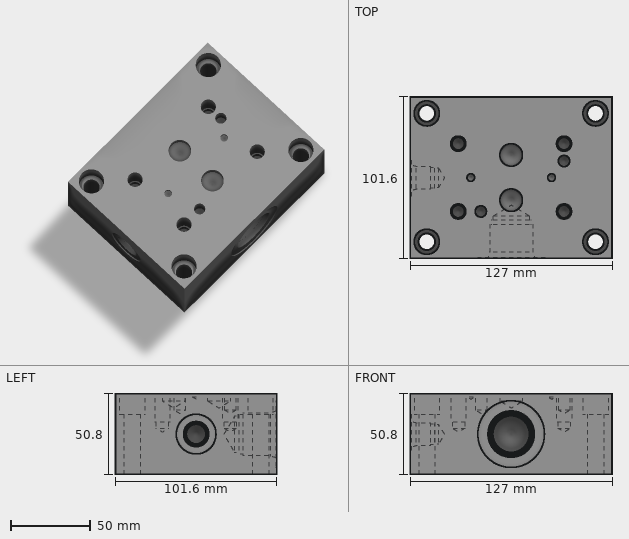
import cadquery as cq
import math

LENGTH = 127.0
WIDTH = 101.6
HEIGHT = 50.8
TOP = HEIGHT / 2

DRILL_POINT_ANGLE = 118.0
PORT_SEAT_HALF_ANGLE = 15.0

CORNER_X = 53.1
CORNER_Y = 40.4
CORNER_HOLE_D = 10.3
CORNER_BORE_D = 15.9
CORNER_BORE_DEPTH = 13.0

BOLT_X = 33.3
BOLT_Y = 21.3
BOLT_THREAD_D = 9.5
BOLT_DRILL_D = 7.9
BOLT_THREAD_DEPTH = 17.8
BOLT_DRILL_DEPTH = 21.6

FLOW_Y = 14.2
FLOW_D = 14.2
FLOW_DEPTH = 4.6

LOCATOR_X = 25.4
LOCATOR_D = 4.8
LOCATOR_DEPTH = 1.9

PILOT_D = 7.1
PILOT_DEPTH = 10.2
PILOT_CENTRES = [(BOLT_X, 10.4), (-19.0, -BOLT_Y)]

FRONT_SPOTFACE_D = 42.0
FRONT_SEAT_D = 29.2
FRONT_SEAT_END_D = 27.4
FRONT_THREAD_D = 26.9
FRONT_MINOR_D = 24.9
FRONT_DRILL_D = 23.0
FRONT_THREAD_DEPTH = 21.6
FRONT_MINOR_DEPTH = 24.1
FRONT_DRILL_DEPTH = 26.7

SIDE_SPOTFACE_D = 25.0
SIDE_SEAT_D = 15.9
SIDE_SEAT_END_D = 14.5
SIDE_THREAD_D = 14.2
SIDE_MINOR_D = 13.0
SIDE_DRILL_D = 12.3
SIDE_THREAD_DEPTH = 12.7
SIDE_MINOR_DEPTH = 15.2
SIDE_DRILL_DEPTH = 17.8

SPOTFACE_DEPTH = 0.8


def mirrored(x, y):
    """Four positions symmetric about both centre lines."""
    return [(sx * x, sy * y) for sx in (-1, 1) for sy in (-1, 1)]


def revolve_cutter(profile):
    """Tool pointing down from the origin, from (radius, depth) points."""
    points = [(radius, -depth) for radius, depth in profile]
    return cq.Workplane("XZ").polyline(points).close().revolve(360, (0, 0), (0, 1))


def drill_tip(diameter):
    """Length of the conical end left by a drill."""
    return diameter / 2 / math.tan(math.radians(DRILL_POINT_ANGLE / 2))


def drill_cutter(diameter, depth):
    """Blind drilled hole with a conical end; depth is to the full diameter."""
    radius = diameter / 2
    return revolve_cutter([(0, 0), (radius, 0), (radius, depth), (0, depth + drill_tip(diameter))])


def threaded_hole_cutter(thread_d, thread_depth, drill_d, drill_depth):
    """Thread-diameter bore stepping down to a deeper drilled hole."""
    thread = cq.Workplane("XY").circle(thread_d / 2).extrude(-thread_depth)
    return thread.union(drill_cutter(drill_d, drill_depth))


def port_cutter(
    spotface_d, seat_d, seat_end_d,
    thread_d, minor_d, drill_d,
    thread_depth, minor_depth, drill_depth,
):
    """Spotfaced port: tapered seal seat, thread-diameter bore, then two smaller bores in steps."""
    seat_length = (seat_d - seat_end_d) / 2 / math.tan(math.radians(PORT_SEAT_HALF_ANGLE))
    seat_end = SPOTFACE_DEPTH + seat_length
    return revolve_cutter([
        (0, 0),
        (spotface_d / 2, 0),
        (spotface_d / 2, SPOTFACE_DEPTH),
        (seat_d / 2, SPOTFACE_DEPTH),
        (seat_end_d / 2, seat_end),
        (thread_d / 2, seat_end),
        (thread_d / 2, thread_depth),
        (minor_d / 2, thread_depth),
        (minor_d / 2, minor_depth),
        (drill_d / 2, minor_depth),
        (drill_d / 2, drill_depth),
        (0, drill_depth + drill_tip(drill_d)),
    ])


def cut_top(body, cutter, centres):
    """Cut the tool into the top face at each centre."""
    for x, y in centres:
        body = body.cut(cutter.translate((x, y, TOP)))
    return body


block = cq.Workplane("XY").box(LENGTH, WIDTH, HEIGHT)

block = (
    block.faces(">Z").workplane()
    .pushPoints(mirrored(CORNER_X, CORNER_Y))
    .cboreHole(CORNER_HOLE_D, CORNER_BORE_D, CORNER_BORE_DEPTH)
)

bolt_hole = threaded_hole_cutter(BOLT_THREAD_D, BOLT_THREAD_DEPTH, BOLT_DRILL_D, BOLT_DRILL_DEPTH)
block = cut_top(block, bolt_hole, mirrored(BOLT_X, BOLT_Y))
block = cut_top(block, drill_cutter(FLOW_D, FLOW_DEPTH), [(0, -FLOW_Y), (0, FLOW_Y)])
block = cut_top(block, drill_cutter(LOCATOR_D, LOCATOR_DEPTH), [(-LOCATOR_X, 0), (LOCATOR_X, 0)])
block = cut_top(block, drill_cutter(PILOT_D, PILOT_DEPTH), PILOT_CENTRES)

front_port = port_cutter(
    FRONT_SPOTFACE_D, FRONT_SEAT_D, FRONT_SEAT_END_D,
    FRONT_THREAD_D, FRONT_MINOR_D, FRONT_DRILL_D,
    FRONT_THREAD_DEPTH, FRONT_MINOR_DEPTH, FRONT_DRILL_DEPTH,
)
block = block.cut(front_port.rotate((0, 0, 0), (1, 0, 0), 90).translate((0, -WIDTH / 2, 0)))

side_port = port_cutter(
    SIDE_SPOTFACE_D, SIDE_SEAT_D, SIDE_SEAT_END_D,
    SIDE_THREAD_D, SIDE_MINOR_D, SIDE_DRILL_D,
    SIDE_THREAD_DEPTH, SIDE_MINOR_DEPTH, SIDE_DRILL_DEPTH,
)
block = block.cut(side_port.rotate((0, 0, 0), (0, 1, 0), -90).translate((-LENGTH / 2, 0, 0)))

result = block